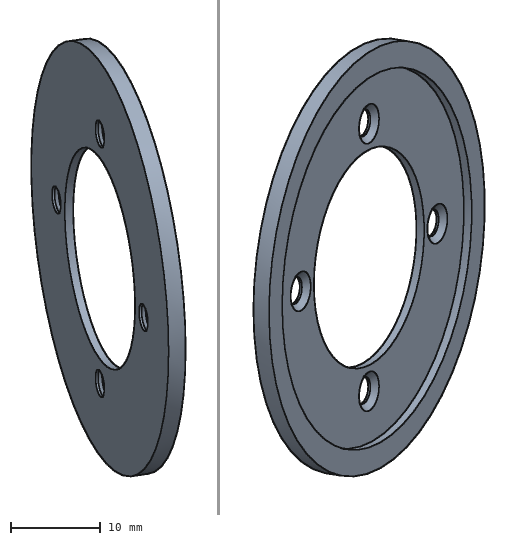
import cadquery as cq

outer_diameter = 49.0
thickness = 2.0
web_thickness = thickness / 2
bore_diameter = 25.0
recess_diameter = 43.0

bolt_circle_diameter = 31.0
bolt_hole_diameter = 3.1
bolt_hole_count = 4
countersink_diameter = 4.5
countersink_angle = 90

front_plane = cq.Workplane("XZ", origin=(0, -thickness / 2, 0))
web_back_plane = cq.Workplane("XZ", origin=(0, -thickness / 2 + web_thickness, 0))


def make_web():
    """Flat front disc with the bore and bolt holes countersunk from the back."""
    disc = front_plane.circle(outer_diameter / 2).circle(bore_diameter / 2).extrude(-web_thickness)
    return (
        disc.faces(">Y")
        .workplane(origin=(0, 0, 0))
        .polarArray(bolt_circle_diameter / 2, 0, 360, bolt_hole_count)
        .cskHole(bolt_hole_diameter, countersink_diameter, countersink_angle)
    )


def make_rim():
    """Ring behind the web that surrounds the recess."""
    rim_height = thickness - web_thickness
    return web_back_plane.circle(outer_diameter / 2).circle(recess_diameter / 2).extrude(-rim_height)


result = make_web().union(make_rim())